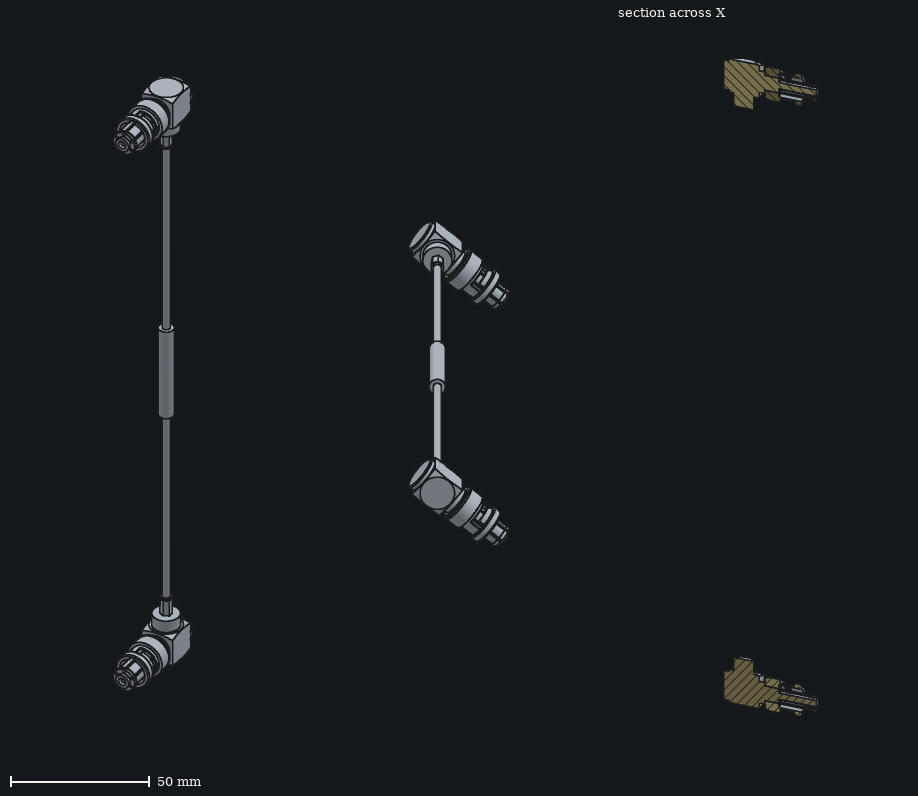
import cadquery as cq
import math

TOTAL_LENGTH = 250.0
TOTAL_DEPTH = 40.0
COUPLING_RADIUS = 7.2
AXIS_HEIGHT = TOTAL_LENGTH / 2 - COUPLING_RADIUS

CABLE_RADIUS = 1.5
SLEEVE_RADIUS = 3.0
SLEEVE_LENGTH = 38.0

BLOCK_SIDE = 13.0
BLOCK_HALF = BLOCK_SIDE / 2
CONE_TOP_RADIUS = 6.2
CONE_DROP = 1.0
CAP_RADIUS = BLOCK_HALF
CAP_BACK = 8.5
CAP_CHAMFER = 0.5

ENTRY_RADIUS = 5.2
ENTRY_LENGTH = 5.0
FERRULE_LENGTH = 7.5
FERRULE_RADIUS = 2.2
FERRULE_RIM = 0.8

NECK_RADIUS = 5.2
NUT_BACK = -8.8
NUT_FRONT = -24.2
TUBE_END = -30.2
NOSE_END = CAP_BACK - TOTAL_DEPTH
TUBE_RADIUS = 4.2
LIP_RADIUS = 4.5
LIP_LENGTH = 1.5
NOSE_RADIUS = 2.8
SLIT_COUNT = 6
SLIT_WIDTH = 0.8
SOCKET_RADIUS = 1.5
SOCKET_DEPTH = 2.5
CONTACT_RADIUS = 0.8
CONTACT_RECESS = 0.8

NUT_BODY_RADIUS = 6.0
NUT_BORE_RADIUS = 5.2
NUT_BORE_BACK = -14.8
GRIP_FRONT = -15.2
GRIP_CHAMFER = 0.5
GRIP_SHOULDER_RADIUS = 7.0
GRIP_SHOULDER_LENGTH = 1.2
FLANGE_RADIUS = 7.0
FLANGE_BACK = -21.0
FLANGE_BACK_CHAMFER = 0.5
FLANGE_CHAMFER = 0.5
CAM_WIDTH = 2.0
CAM_CENTRE = -17.8
CAM_DEPTH_RADIUS = 6.2
LATCH_HOLE_RADIUS = 1.8
ENTRY_SLOT_WIDTH = 2.2


def turned(profile):
    """Revolve a closed (radius, y) outline about the connector axis."""
    return cq.Workplane("XY").polyline(profile).close().revolve(360, (0, 0, 0), (0, 1, 0))


def rod(radius, start, end):
    """Round rod along Y between two positions."""
    return cq.Workplane("XZ", origin=(0, start, 0)).circle(radius).extrude(start - end)


def block():
    """Cube whose upper and lower ends are coned down to a circle."""
    cube = cq.Workplane("XY").box(BLOCK_SIDE, BLOCK_SIDE, BLOCK_SIDE)
    corner_radius = BLOCK_HALF * math.sqrt(2)
    outline = [
        (0, -BLOCK_HALF),
        (CONE_TOP_RADIUS, -BLOCK_HALF),
        (corner_radius, CONE_DROP - BLOCK_HALF),
        (corner_radius, BLOCK_HALF - CONE_DROP),
        (CONE_TOP_RADIUS, BLOCK_HALF),
        (0, BLOCK_HALF),
    ]
    spindle = cq.Workplane("XZ").polyline(outline).close().revolve(360, (0, 0, 0), (0, 1, 0))
    return cube.intersect(spindle)


def back_cap():
    """Chamfered round cap behind the block."""
    return rod(CAP_RADIUS, CAP_BACK, BLOCK_HALF).faces(">Y").chamfer(CAP_CHAMFER)


def cable_entry():
    """Round boss, hexagonal crimp and round rim below the block."""
    boss = cq.Workplane("XY", origin=(0, 0, -BLOCK_HALF)).circle(ENTRY_RADIUS).extrude(-ENTRY_LENGTH)
    crimp = (
        boss.faces("<Z")
        .workplane()
        .transformed(rotate=(0, 0, 90))
        .polygon(6, 2 * FERRULE_RADIUS)
        .extrude(FERRULE_LENGTH - FERRULE_RIM)
    )
    return crimp.faces("<Z").workplane().circle(FERRULE_RADIUS).extrude(FERRULE_RIM)


def plug():
    """Neck, slit contact tube with its lip, and the insulator nose."""
    outline = [
        (0, -BLOCK_HALF),
        (NECK_RADIUS, -BLOCK_HALF),
        (NECK_RADIUS, NUT_BACK),
        (TUBE_RADIUS, NUT_BACK),
        (TUBE_RADIUS, TUBE_END + LIP_LENGTH),
        (LIP_RADIUS, TUBE_END + LIP_LENGTH),
        (LIP_RADIUS, TUBE_END),
        (NOSE_RADIUS, TUBE_END),
        (NOSE_RADIUS, NOSE_END),
        (SOCKET_RADIUS, NOSE_END),
        (SOCKET_RADIUS, NOSE_END + SOCKET_DEPTH),
        (CONTACT_RADIUS, NOSE_END + SOCKET_DEPTH),
        (CONTACT_RADIUS, NOSE_END + CONTACT_RECESS),
        (0, NOSE_END + CONTACT_RECESS),
    ]
    body = turned(outline)
    slit_length = NUT_BORE_BACK - TUBE_END
    slit = cq.Workplane("XY").box(SLIT_WIDTH, slit_length, LIP_RADIUS, centered=(True, False, False))
    slit = slit.translate((0, TUBE_END, 0)).cut(rod(NOSE_RADIUS, NUT_BORE_BACK, TUBE_END))
    for i in range(SLIT_COUNT):
        body = body.cut(slit.rotate((0, 0, 0), (0, 1, 0), i * 360 / SLIT_COUNT))
    return body


def elbow_connector():
    """One-piece elbow: block, back cap, cable entry and plug."""
    return block().union(back_cap()).union(cable_entry()).union(plug())


def cam_slot():
    """Bayonet path: axial entry at the top, a quarter-turn slot and a round latch hole at +X."""
    half = CAM_WIDTH / 2
    ring = rod(CAM_DEPTH_RADIUS, CAM_CENTRE + half, CAM_CENTRE - half)
    quarter = cq.Workplane("XY").box(
        2 * CAM_DEPTH_RADIUS, -2 * NUT_FRONT, 2 * CAM_DEPTH_RADIUS, centered=(False, True, False)
    )
    entry_length = CAM_CENTRE + half - NUT_FRONT
    entry = cq.Workplane("XY", origin=(0, NUT_FRONT, 0)).box(
        ENTRY_SLOT_WIDTH, entry_length, CAM_DEPTH_RADIUS, centered=(True, False, False)
    )
    latch = cq.Workplane("YZ", origin=(0, CAM_CENTRE, 0)).circle(LATCH_HOLE_RADIUS).extrude(CAM_DEPTH_RADIUS)
    core = rod(TUBE_RADIUS, NUT_BORE_BACK, NUT_FRONT)
    return ring.intersect(quarter).union(entry).union(latch).cut(core)


def bayonet_nut():
    """Hollow nut with a grip ring, a front flange and two opposite cam slots."""
    outline = [
        (TUBE_RADIUS, NUT_BACK),
        (GRIP_SHOULDER_RADIUS - GRIP_CHAMFER, NUT_BACK),
        (GRIP_SHOULDER_RADIUS, NUT_BACK - GRIP_CHAMFER),
        (GRIP_SHOULDER_RADIUS, NUT_BACK - GRIP_SHOULDER_LENGTH),
        (COUPLING_RADIUS, NUT_BACK - GRIP_SHOULDER_LENGTH),
        (COUPLING_RADIUS, GRIP_FRONT),
        (NUT_BODY_RADIUS, GRIP_FRONT),
        (NUT_BODY_RADIUS, FLANGE_BACK),
        (FLANGE_RADIUS - FLANGE_BACK_CHAMFER, FLANGE_BACK),
        (FLANGE_RADIUS, FLANGE_BACK - FLANGE_BACK_CHAMFER),
        (FLANGE_RADIUS, NUT_FRONT + FLANGE_CHAMFER),
        (FLANGE_RADIUS - FLANGE_CHAMFER, NUT_FRONT),
        (NUT_BORE_RADIUS, NUT_FRONT),
        (NUT_BORE_RADIUS, NUT_BORE_BACK),
        (TUBE_RADIUS, NUT_BORE_BACK),
    ]
    nut = turned(outline)
    for angle in (0, 180):
        nut = nut.cut(cam_slot().rotate((0, 0, 0), (0, 1, 0), angle))
    return nut


def cable_half():
    """Cable from the end of the sleeve to the end of the upper crimp."""
    top = AXIS_HEIGHT - BLOCK_HALF - ENTRY_LENGTH - FERRULE_LENGTH
    bottom = SLEEVE_LENGTH / 2
    return cq.Workplane("XY", origin=(0, 0, bottom)).circle(CABLE_RADIUS).extrude(top - bottom)


def sleeve():
    """Round sleeve centred on the cable, with a cable end at each of its faces."""
    return cq.Workplane("XY", origin=(0, 0, -SLEEVE_LENGTH / 2)).circle(SLEEVE_RADIUS).extrude(SLEEVE_LENGTH)


def both_ends(upper_part):
    """Solids of an upper part and its copy turned half a revolution about Y."""
    return [upper_part.rotate((0, 0, 0), (0, 1, 0), angle).val() for angle in (0, 180)]


to_upper_axis = (0, 0, AXIS_HEIGHT)
cables = both_ends(cable_half())
elbows = both_ends(elbow_connector().translate(to_upper_axis))
nuts = both_ends(bayonet_nut().translate(to_upper_axis))

result = cq.Compound.makeCompound([sleeve().val(), *cables, *elbows, *nuts])